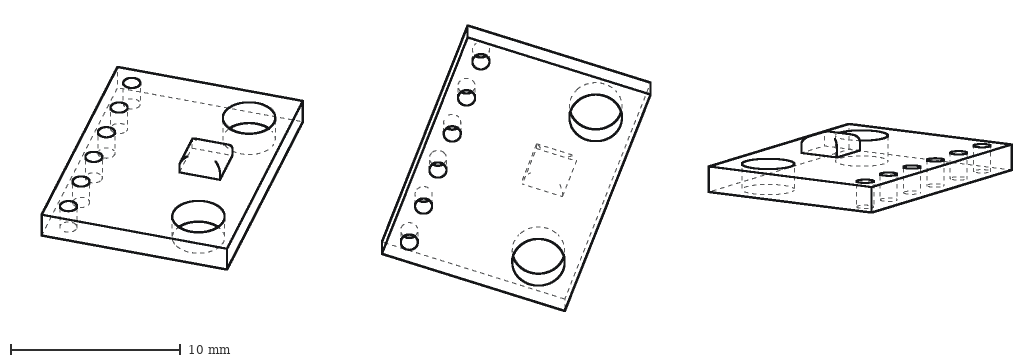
import cadquery as cq

board_length = 15.24
pin_count = 6
pin_pitch = board_length / pin_count
board_width = 4.5 * pin_pitch
board_thickness = 1.54

pin_diameter = 1.0
pin_row_x = -board_width / 2 + pin_pitch / 2

mount_diameter = 3.1
mount_x = board_width / 2 - pin_pitch
mount_y = board_length / 2 - pin_pitch

chip_side = 2.5
chip_height = 1.0
chip_edge_radius = chip_height / 2
chip_x = 2.07


def make_board():
    """Flat board with its underside at Z = 0."""
    board = cq.Workplane("XY").box(
        board_width, board_length, board_thickness, centered=(True, True, False)
    )
    pin_points = [
        (pin_row_x, (i - (pin_count - 1) / 2) * pin_pitch) for i in range(pin_count)
    ]
    mount_points = [(mount_x, -mount_y), (mount_x, mount_y)]
    board = board.faces(">Z").workplane(origin=(0, 0, 0)).pushPoints(pin_points).hole(pin_diameter)
    return board.faces(">Z").workplane(origin=(0, 0, 0)).pushPoints(mount_points).hole(mount_diameter)


def make_chip():
    """Chip standing on the upper face of the board."""
    chip = cq.Workplane("XY").box(
        chip_side, chip_side, chip_height, centered=(True, True, False)
    )
    chip = chip.faces(">Z").edges().fillet(chip_edge_radius)
    return chip.translate((chip_x, 0, board_thickness))


result = make_board().union(make_chip())